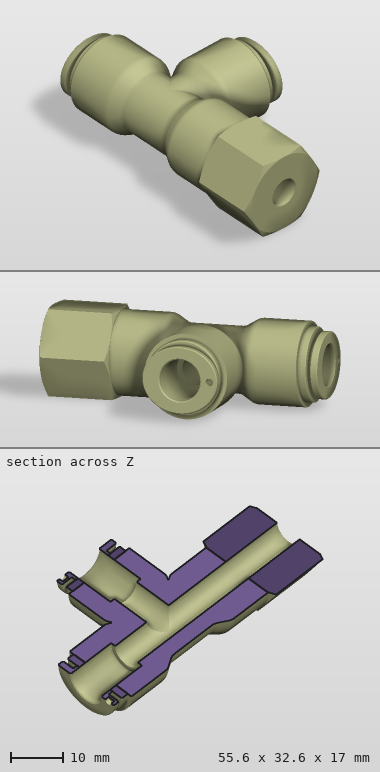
import cadquery as cq
import math

PORT_REACH = 22.8
RUN_LENGTH = 55.6
RUN_END = RUN_LENGTH - PORT_REACH

BARREL_DIAMETER = 16.7
NECK_DIAMETER = 13.05
BARREL_REACH = 18.8
SHOULDER_ANGLE = 31.0
SHOULDER_REACH = 8.8
SHOULDER_ROUND = 2.2

FLOW_BORE = 6.0
TUBE_BORE = 8.2
TUBE_DEPTH = 11.1
MOUTH_CHAMFER = 0.2

RING_DIAMETER = 14.7
RING_REACH = 20.4
RING_EDGE_CHAMFER = 0.15

FLANGE_LONG = 15.05
FLANGE_SHORT = 13.05
FLANGE_THICKNESS = 1.45
FLANGE_EDGE_CHAMFER = 0.15
STEM_DIAMETER = 9.6
MARK_DIAMETER = 1.5
MARK_OFFSET = 6.0
MARK_DEPTH = 0.9

HEX_FLATS = 17.0
HEX_CORNERS = HEX_FLATS / math.cos(math.radians(30))
HEX_CHAMFER_ANGLE = 25.0
HEX_FACE_DIAMETER = 17.0

TUBE_STOP = PORT_REACH - TUBE_DEPTH


def cylinder(diameter, start, end):
    """Cylinder about X between two stations."""
    return cq.Workplane("YZ", origin=(start, 0, 0)).circle(diameter / 2).extrude(end - start)


def facing_run(port_part):
    """Turn a part built along +X so that it faces -X."""
    return port_part.rotate((0, 0, 0), (0, 0, 1), 180)


def facing_branch(port_part):
    """Turn a part built along +X so that it faces +Y."""
    return port_part.rotate((0, 0, 0), (0, 0, 1), 90)


PORT_TURNS = [facing_run, facing_branch]


def make_arm():
    """Neck, coned shoulder and barrel along +X, with both shoulder corners rounded."""
    neck = NECK_DIAMETER / 2
    barrel = BARREL_DIAMETER / 2
    angle = math.radians(SHOULDER_ANGLE)
    cone_start = SHOULDER_REACH - (barrel - neck) / math.tan(angle)
    tangent = SHOULDER_ROUND * math.tan(angle / 2)
    middle = SHOULDER_ROUND * (1 / math.cos(angle / 2) - 1)
    along = tangent * math.cos(angle)
    rise = tangent * math.sin(angle)
    drift = middle * math.sin(angle / 2)
    drop = middle * math.cos(angle / 2)
    profile = (
        cq.Workplane("XY")
        .lineTo(0, neck)
        .lineTo(cone_start - tangent, neck)
        .threePointArc((cone_start - drift, neck + drop), (cone_start + along, neck + rise))
        .lineTo(SHOULDER_REACH - along, barrel - rise)
        .threePointArc((SHOULDER_REACH + drift, barrel - drop), (SHOULDER_REACH + tangent, barrel))
        .lineTo(BARREL_REACH, barrel)
        .lineTo(BARREL_REACH, 0)
        .close()
    )
    return profile.revolve(360, (0, 0, 0), (1, 0, 0))


def make_port_cavity():
    """Tube socket and flow bore of a port along +X."""
    socket = cylinder(TUBE_BORE, TUBE_STOP, BARREL_REACH)
    flow = cylinder(FLOW_BORE, 0, BARREL_REACH)
    return socket.union(flow)


def make_housing():
    arm = make_arm()
    housing = arm
    for turn in PORT_TURNS:
        housing = housing.union(turn(arm))
    for turn in PORT_TURNS:
        housing = housing.cut(turn(make_port_cavity()))
    return housing.cut(cylinder(FLOW_BORE, 0, BARREL_REACH))


def make_guide_ring():
    ring = cylinder(RING_DIAMETER, BARREL_REACH, RING_REACH)
    ring = ring.faces(">X").chamfer(RING_EDGE_CHAMFER)
    return ring.cut(cylinder(TUBE_BORE, BARREL_REACH, RING_REACH))


def make_release_sleeve():
    flange_start = PORT_REACH - FLANGE_THICKNESS
    flange = (
        cq.Workplane("YZ", origin=(flange_start, 0, 0))
        .ellipse(FLANGE_LONG / 2, FLANGE_SHORT / 2)
        .extrude(FLANGE_THICKNESS)
        .faces("|X")
        .chamfer(FLANGE_EDGE_CHAMFER)
    )
    sleeve = flange.union(cylinder(STEM_DIAMETER, RING_REACH, flange_start))
    sleeve = sleeve.cut(cylinder(TUBE_BORE, RING_REACH, PORT_REACH))
    sleeve = sleeve.faces(">X").edges("%CIRCLE").chamfer(MOUTH_CHAMFER)
    mark = cylinder(MARK_DIAMETER, PORT_REACH - MARK_DEPTH, PORT_REACH)
    return sleeve.cut(mark.translate((0, MARK_OFFSET, 0)))


def make_nut():
    """Hexagonal nut with corners on the Y axis and both ends turned to a cone."""
    length = RUN_END - BARREL_REACH
    hexagon = (
        cq.Workplane("YZ", origin=(BARREL_REACH, 0, 0))
        .polygon(6, HEX_CORNERS)
        .extrude(length)
    )
    corner_radius = HEX_CORNERS / 2
    face_radius = HEX_FACE_DIAMETER / 2
    depth = (corner_radius - face_radius) * math.tan(math.radians(HEX_CHAMFER_ANGLE))
    envelope = (
        cq.Workplane("XY", origin=(BARREL_REACH, 0, 0))
        .lineTo(0, face_radius)
        .lineTo(depth, corner_radius)
        .lineTo(length - depth, corner_radius)
        .lineTo(length, face_radius)
        .lineTo(length, 0)
        .close()
        .revolve(360, (0, 0, 0), (1, 0, 0))
    )
    return hexagon.intersect(envelope).cut(cylinder(FLOW_BORE, BARREL_REACH, RUN_END))


housing = make_housing()
guide_rings = [turn(make_guide_ring()) for turn in PORT_TURNS]
release_sleeves = [turn(make_release_sleeve()) for turn in PORT_TURNS]
nut = make_nut()

result = cq.Compound.makeCompound([
    housing.val(),
    *[ring.val() for ring in guide_rings],
    *[sleeve.val() for sleeve in release_sleeves],
    nut.val(),
])